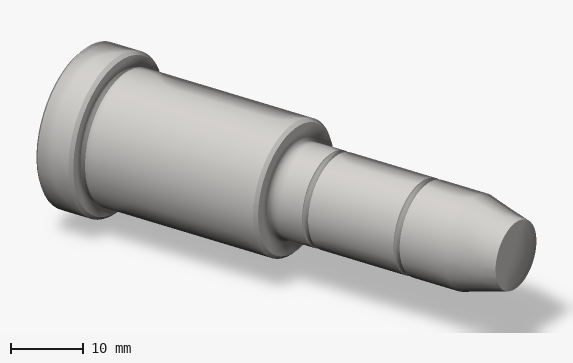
import cadquery as cq

total_length = 71.0
head_length = 6.0
shoulder_end = 35.0
taper_start = 64.0

head_diameter = 24.0
shoulder_diameter = 20.0
pin_diameter = 14.0
tip_diameter = 10.2

chamfer_size = 0.5
root_fillet_radius = 0.5
groove_radius = 0.5
relief_groove_center = 6.45
pin_groove_centers = (41.05, 56.0)


def cylinder_along_x(start, end, diameter):
    return cq.Workplane("YZ", origin=(start, 0, 0)).circle(diameter / 2).extrude(end - start)


def round_groove(center, diameter):
    """Ring of circular section, centered on the surface of a cylinder."""
    return (
        cq.Workplane("XY")
        .center(center, diameter / 2)
        .circle(groove_radius)
        .revolve(360, (0, -diameter / 2), (1, -diameter / 2))
    )


def tapered_pin():
    """Pin starting at the shoulder face, with a fillet at its root and a conical tip."""
    pin_radius = pin_diameter / 2
    root_end = shoulder_end + root_fillet_radius
    root_radius = pin_radius + root_fillet_radius
    return (
        cq.Workplane("XY")
        .moveTo(shoulder_end, 0)
        .lineTo(shoulder_end, root_radius)
        .radiusArc((root_end, pin_radius), -root_fillet_radius)
        .lineTo(taper_start, pin_radius)
        .lineTo(total_length, tip_diameter / 2)
        .lineTo(total_length, 0)
        .close()
        .revolve(360, (0, 0), (1, 0))
    )


head = cylinder_along_x(0, head_length, head_diameter).edges().chamfer(chamfer_size)
shoulder = cylinder_along_x(head_length, shoulder_end, shoulder_diameter)
shoulder = shoulder.faces(">X").edges().chamfer(chamfer_size)

shoulder = shoulder.cut(round_groove(relief_groove_center, shoulder_diameter))

pin = tapered_pin()
for groove_center in pin_groove_centers:
    pin = pin.cut(round_groove(groove_center, pin_diameter))

result = head.union(shoulder).union(pin)